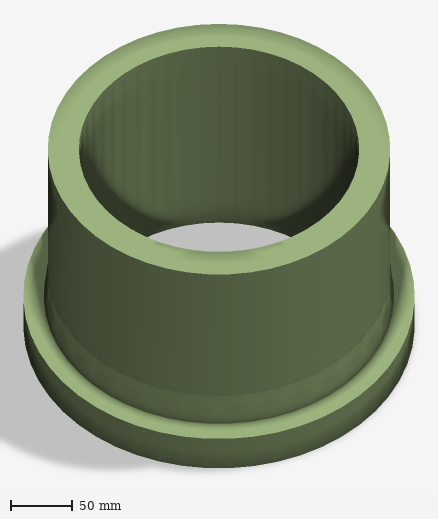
import cadquery as cq

flange_diameter = 320.0
flange_height = 35.2
pipe_diameter = 280.0
bore_diameter = 229.0
total_height = 211.0

hub_base_diameter = 286.5
hub_top_height = 65.5
hub_root_fillet = 0.5

flange_radius = flange_diameter / 2
pipe_radius = pipe_diameter / 2
bore_radius = bore_diameter / 2
hub_base_radius = hub_base_diameter / 2

body = (
    cq.Workplane("XZ")
    .moveTo(bore_radius, 0)
    .lineTo(flange_radius, 0)
    .lineTo(flange_radius, flange_height)
    .lineTo(hub_base_radius, flange_height)
    .lineTo(pipe_radius, hub_top_height)
    .lineTo(pipe_radius, total_height)
    .lineTo(bore_radius, total_height)
    .close()
    .revolve(360, (0, 0, 0), (0, 1, 0))
)

hub_root = cq.selectors.RadiusNthSelector(2)
result = body.edges("%CIRCLE").edges(hub_root).fillet(hub_root_fillet)